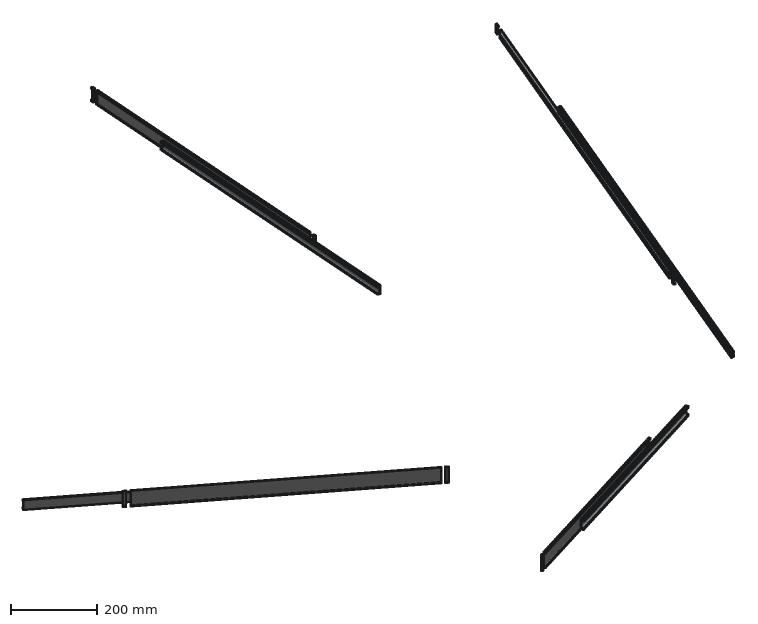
import cadquery as cq

TOTAL_LENGTH = 1007.5
TOTAL_DEPTH = 17.42

OUTER_HEIGHT = 38.73
OUTER_DEPTH = 4.2
OUTER_WEB = 1.7
OUTER_FLANGE = 2.4
OUTER_ROOT_RADIUS = 1.7

END_PIECE_LENGTH = 8.0
LEFT_GAP = 9.5
OUTER_RAIL_LENGTH = 737.0
RIGHT_GAP = 11.0

INNER_HEIGHT = 24.2
INNER_DEPTH = 7.5
INNER_WEB = 2.6
INNER_FLANGE = 3.4
INNER_ROOT_RADIUS = 3.0
INNER_NOSE_RADIUS = 1.2
RACE_WIDTH = 3.6
RACE_DEPTH = 1.2
INNER_RAIL_LENGTH = 752.0

OUTER_RAIL_X = END_PIECE_LENGTH + LEFT_GAP
RIGHT_PIECE_X = OUTER_RAIL_X + OUTER_RAIL_LENGTH + RIGHT_GAP
INNER_RAIL_X = TOTAL_LENGTH - INNER_RAIL_LENGTH
INNER_FRONT_Y = -TOTAL_DEPTH


def long_box(start_x, length, front_y, depth, height):
    """Box from start_x toward +X and front_y toward +Y, centred on Z = 0."""
    return (
        cq.Workplane("XY", origin=(start_x, front_y, 0))
        .box(length, depth, height, centered=(False, False, True))
    )


def channel_recess(start_x, length, front_y, depth, height, root_radius):
    """Space between the flanges of a channel, rounded where the flanges meet the web."""
    return (
        long_box(start_x, length, front_y, depth, height)
        .edges("|X and >Y")
        .fillet(root_radius)
    )


def outer_channel(start_x, length):
    """Shallow channel with its web at the back and its flanges toward -Y."""
    body = long_box(start_x, length, -OUTER_DEPTH, OUTER_DEPTH, OUTER_HEIGHT)
    recess = channel_recess(
        start_x,
        length,
        -OUTER_DEPTH,
        OUTER_DEPTH - OUTER_WEB,
        OUTER_HEIGHT - 2 * OUTER_FLANGE,
        OUTER_ROOT_RADIUS,
    )
    return body.cut(recess)


def ball_race(side):
    """Shallow round groove along one flange; side is +1 for the top, -1 for the bottom."""
    face_z = side * INNER_HEIGHT / 2
    middle_y = INNER_FRONT_Y + INNER_DEPTH / 2
    deepest_point = (middle_y, face_z - side * RACE_DEPTH)
    return (
        cq.Workplane("YZ", origin=(INNER_RAIL_X, 0, 0))
        .moveTo(middle_y - RACE_WIDTH / 2, face_z)
        .threePointArc(deepest_point, (middle_y + RACE_WIDTH / 2, face_z))
        .close()
        .extrude(INNER_RAIL_LENGTH)
    )


def make_inner_rail():
    """Deeper channel with rounded flange noses and a ball race along each flange."""
    rail = (
        long_box(INNER_RAIL_X, INNER_RAIL_LENGTH, INNER_FRONT_Y, INNER_DEPTH, INNER_HEIGHT)
        .edges("|X and <Y")
        .fillet(INNER_NOSE_RADIUS)
    )
    recess = channel_recess(
        INNER_RAIL_X,
        INNER_RAIL_LENGTH,
        INNER_FRONT_Y,
        INNER_DEPTH - INNER_WEB,
        INNER_HEIGHT - 2 * INNER_FLANGE,
        INNER_ROOT_RADIUS,
    )
    rail = rail.cut(recess)
    for side in (1, -1):
        rail = rail.cut(ball_race(side))
    return rail


outer_rail = outer_channel(OUTER_RAIL_X, OUTER_RAIL_LENGTH)
end_pieces = [outer_channel(x, END_PIECE_LENGTH) for x in (0, RIGHT_PIECE_X)]
inner_rail = make_inner_rail()

result = cq.Compound.makeCompound(
    [outer_rail.val(), inner_rail.val(), *[piece.val() for piece in end_pieces]]
)